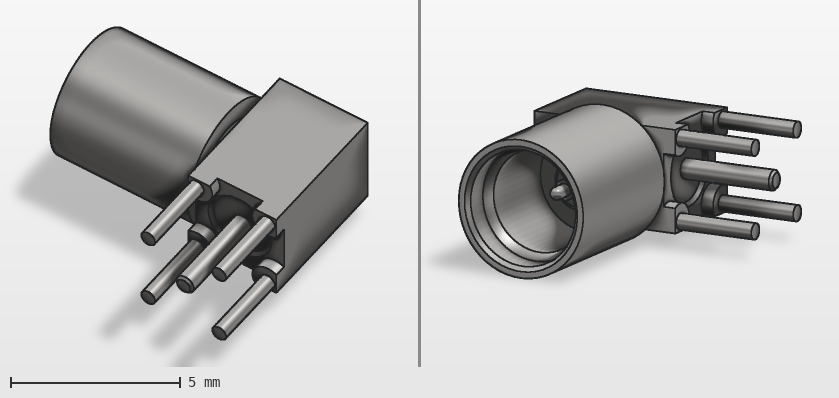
import cadquery as cq
import math


overall_length = 8.27
block_width = 3.15
block_depth = 4.755
socket_axis_from_back = 2.4
foot_height = 0.4

barrel_length = 4.93
barrel_radius = 2.1
neck_radius = 1.43
neck_overlap = 0.165

mouth_radius = 1.9
mouth_chamfer = 0.13
wide_bore_end = 0.87
narrow_bore_radius = 1.57
narrow_bore_start = 1.17
bore_depth = 4.0

insulator_radius = 0.8
insulator_length = 0.5
collar_base_radius = 0.73
collar_tip_radius = 0.66
collar_length = 0.165
contact_radius = 0.315
contact_tip_radius = 0.2
contact_shoulder_x = 2.65
contact_tip_x = 1.985

leg_spacing = 2.54
leg_radius = 0.25
foot_radius = 0.55
pin_length = 2.53
centre_pin_radius = contact_radius
pin_chamfer = 0.08
recess_radius = 1.13
recess_floor_radius = 1.025
recess_depth = 0.13

block_start = overall_length - block_width
block_centre_x = block_start + block_width / 2
back_y = socket_axis_from_back
foot_face_y = back_y - block_depth
body_face_y = foot_face_y + foot_height
recess_floor_y = body_face_y + recess_depth
pin_tip_y = foot_face_y - pin_length

leg_places = [
    (block_centre_x + x_side * leg_spacing / 2, z_side * leg_spacing / 2)
    for x_side in (-1, 1)
    for z_side in (-1, 1)
]


def block_between(front_y, rear_y):
    """Square block section spanning two Y positions."""
    return cq.Workplane("XY").box(block_width, rear_y - front_y, block_width).translate(
        (block_centre_x, (front_y + rear_y) / 2, 0)
    )


def rod_along_y(place, radius, front_y, rear_y):
    """Round rod parallel to Y at an (x, z) place."""
    x, z = place
    return (
        cq.Workplane("XZ", origin=(x, front_y, z))
        .circle(radius)
        .extrude(front_y - rear_y)
    )


def revolved_about_x(profile):
    """Turn a closed XY profile about the socket axis."""
    return profile.close().revolve(360, (0, 0, 0), (1, 0, 0))


def make_barrel():
    wide_bore_radius = mouth_radius - mouth_chamfer
    profile = (
        cq.Workplane("XY")
        .moveTo(bore_depth, 0)
        .lineTo(bore_depth, narrow_bore_radius)
        .lineTo(narrow_bore_start, narrow_bore_radius)
        .lineTo(wide_bore_end, wide_bore_radius)
        .lineTo(mouth_chamfer, wide_bore_radius)
        .lineTo(0, mouth_radius)
        .lineTo(0, barrel_radius)
        .lineTo(barrel_length, barrel_radius)
        .lineTo(barrel_length, neck_radius)
        .lineTo(block_start + neck_overlap, neck_radius)
        .lineTo(block_start + neck_overlap, 0)
    )
    return revolved_about_x(profile)


def make_contact():
    """Insulator with a tapered collar, and a stepped contact with a domed tip."""
    insulator_face = bore_depth - insulator_length
    collar_face = insulator_face - collar_length
    dome_start = contact_tip_x + contact_tip_radius
    dome_mid_reach = contact_tip_radius * math.sqrt(0.5)
    profile = (
        cq.Workplane("XY")
        .moveTo(barrel_length, 0)
        .lineTo(barrel_length, insulator_radius)
        .lineTo(insulator_face, insulator_radius)
        .lineTo(insulator_face, collar_base_radius)
        .lineTo(collar_face, collar_tip_radius)
        .lineTo(collar_face, contact_radius)
        .lineTo(contact_shoulder_x, contact_radius)
        .lineTo(contact_shoulder_x, contact_tip_radius)
        .lineTo(dome_start, contact_tip_radius)
        .threePointArc((dome_start - dome_mid_reach, dome_mid_reach), (contact_tip_x, 0))
    )
    return revolved_about_x(profile)


def make_body():
    """Block with a shallow tapered recess on its mounting side."""
    recess = (
        cq.Workplane("XZ", origin=(block_centre_x, body_face_y, 0))
        .circle(recess_radius)
        .workplane(offset=-recess_depth)
        .circle(recess_floor_radius)
        .loft()
    )
    return block_between(body_face_y, back_y).cut(recess)


def make_foot_with_leg(place):
    """Round foot trimmed flush with the block sides, carrying a plain leg."""
    foot = rod_along_y(place, foot_radius, foot_face_y, body_face_y)
    trimmed_foot = foot.intersect(block_between(foot_face_y, body_face_y))
    return trimmed_foot.union(rod_along_y(place, leg_radius, pin_tip_y, foot_face_y))


def make_centre_pin():
    pin = rod_along_y((block_centre_x, 0), centre_pin_radius, pin_tip_y, recess_floor_y)
    return pin.faces("<Y").chamfer(pin_chamfer)


result = make_body().union(make_barrel()).union(make_contact()).union(make_centre_pin())
for leg_place in leg_places:
    result = result.union(make_foot_with_leg(leg_place))